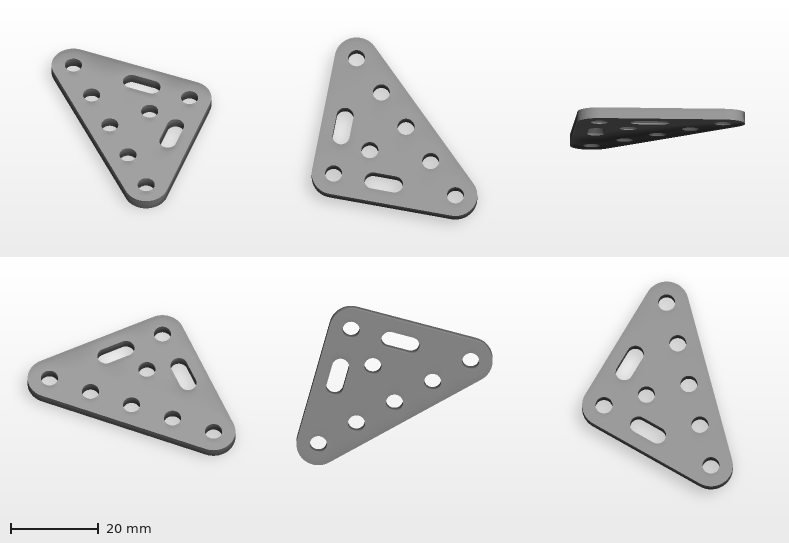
import cadquery as cq
import math

PITCH = 10.0
GRID_STEPS = 2
THICKNESS = 2.5
CORNER_RADIUS = 5.0
HOLE_DIAMETER = 3.9
SLOT_TRAVEL = 5.0
EDGE_ANGLE = 45.0

BASE_HALF = GRID_STEPS * PITCH
APEX_HEIGHT = GRID_STEPS * PITCH

DIAGONAL = CORNER_RADIUS * math.cos(math.radians(EDGE_ANGLE))


def plate():
    """Right-angled triangular plate with rounded corners."""
    half_angle = math.radians(EDGE_ANGLE / 2)
    bulge_x = BASE_HALF + CORNER_RADIUS * math.cos(half_angle)
    bulge_y = -CORNER_RADIUS * math.sin(half_angle)
    return (
        cq.Workplane("XY")
        .moveTo(-BASE_HALF, -CORNER_RADIUS)
        .lineTo(BASE_HALF, -CORNER_RADIUS)
        .threePointArc((bulge_x, bulge_y), (BASE_HALF + DIAGONAL, DIAGONAL))
        .lineTo(DIAGONAL, APEX_HEIGHT + DIAGONAL)
        .threePointArc((0, APEX_HEIGHT + CORNER_RADIUS), (-DIAGONAL, APEX_HEIGHT + DIAGONAL))
        .lineTo(-BASE_HALF - DIAGONAL, DIAGONAL)
        .threePointArc((-bulge_x, bulge_y), (-BASE_HALF, -CORNER_RADIUS))
        .close()
        .extrude(THICKNESS)
    )


def round_holes():
    """Base row of five holes and two more on the centre line."""
    base_row = [(column * PITCH, 0) for column in range(-GRID_STEPS, GRID_STEPS + 1)]
    centre_line = [(0, PITCH), (0, APEX_HEIGHT)]
    return (
        cq.Workplane("XY")
        .pushPoints(base_row + centre_line)
        .circle(HOLE_DIAMETER / 2)
        .extrude(THICKNESS)
    )


def slot(side):
    """Sloping slot on one side (-1 left, +1 right), its outer end on the hole grid."""
    angle = math.radians(EDGE_ANGLE)
    centre_x = side * (PITCH - SLOT_TRAVEL / 2 * math.cos(angle))
    centre_y = PITCH + SLOT_TRAVEL / 2 * math.sin(angle)
    return (
        cq.Workplane("XY")
        .center(centre_x, centre_y)
        .slot2D(SLOT_TRAVEL + HOLE_DIAMETER, HOLE_DIAMETER, -side * EDGE_ANGLE)
        .extrude(THICKNESS)
    )


result = plate().cut(round_holes())
for side in (-1, 1):
    result = result.cut(slot(side))